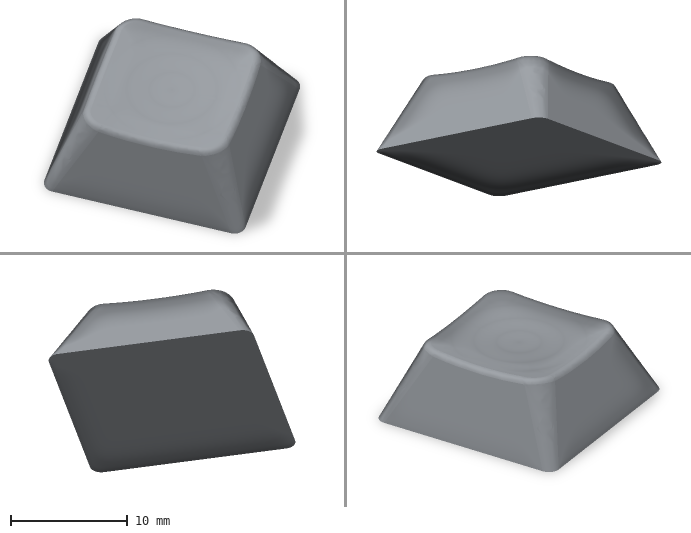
import cadquery as cq

base_side = 18.0
base_corner_radius = 1.0
blank_side = 12.5
blank_corner_radius = 2.0
blank_height = 7.0

dish_radius = 40.0
dish_bottom_height = 6.0
rim_fillet = 0.6


def rounded_square(side, corner_radius):
    """Sketch of a centred square with rounded corners."""
    return cq.Sketch().rect(side, side).vertices().fillet(corner_radius)


def tapered_blank():
    """Solid lofted from the wide base to the narrow flat top."""
    top_of_blank = cq.Location(cq.Vector(0, 0, blank_height))
    return (
        cq.Workplane("XY")
        .placeSketch(
            rounded_square(base_side, base_corner_radius),
            rounded_square(blank_side, blank_corner_radius).moved(top_of_blank),
        )
        .loft()
    )


def dish_cutter():
    """Sphere whose lowest point sits at the bottom of the dish."""
    return cq.Workplane("XY").sphere(dish_radius).translate((0, 0, dish_bottom_height + dish_radius))


dished_cap = tapered_blank().cut(dish_cutter())

result = dished_cap.faces("%SPHERE").edges().fillet(rim_fillet)